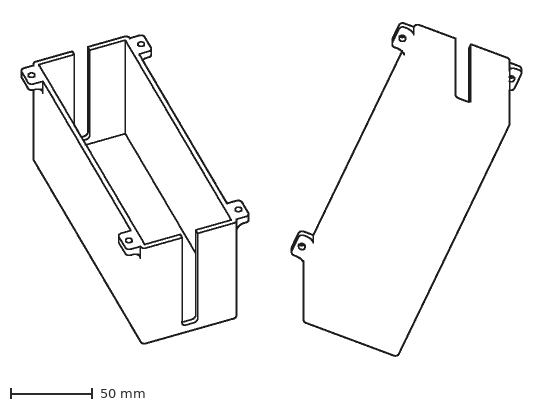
import cadquery as cq

length = 177.8
width = 63.5
height = 82.55
wall = 3.175
edge_radius = 2.54

tab_length = 15.24
tab_reach = 8.89
tab_thickness = 5.08
tab_corner_radius = 2.54
tab_gusset_radius = 5.08
tab_inset = edge_radius
hole_diameter = 4.0

slot_width = 10.16
slot_bottom = 7.62
slot_corner_radius = 2.54


def make_box():
    """Hollow box with rounded vertical and bottom outer edges, base on Z = 0."""
    outer = cq.Workplane("XY").box(length, width, height, centered=(True, True, False))
    outer = outer.edges("|Z or <Z").fillet(edge_radius)
    cavity = (
        cq.Workplane("XY", origin=(0, 0, wall))
        .box(length - 2 * wall, width - 2 * wall, height - wall, centered=(True, True, False))
    )
    return outer.cut(cavity)


def make_tab():
    """Tab on the +X, +Y corner, with a concave gusset below and a screw hole."""
    tab_start = length / 2 - tab_inset - tab_length
    root_y = width / 2
    tip_y = root_y + tab_reach
    embed_y = root_y - wall / 2
    underside = height - tab_thickness
    gusset_bottom = underside - tab_gusset_radius
    arc_offset = tab_gusset_radius * (1 - 0.5 ** 0.5)
    tab = (
        cq.Workplane("YZ", origin=(tab_start, 0, 0))
        .moveTo(embed_y, height)
        .lineTo(tip_y, height)
        .lineTo(tip_y, underside)
        .lineTo(root_y + tab_gusset_radius, underside)
        .threePointArc((root_y + arc_offset, underside - arc_offset), (root_y, gusset_bottom))
        .lineTo(embed_y, gusset_bottom)
        .close()
        .extrude(tab_length)
    )
    tab = tab.edges("|Z and >Y").fillet(tab_corner_radius)
    hole = (
        cq.Workplane("XY")
        .center(tab_start + tab_length / 2, root_y + tab_reach / 2)
        .circle(hole_diameter / 2)
        .extrude(height)
    )
    return tab.cut(hole)


def make_slot():
    """Cutter along X that opens both end walls up to the rim."""
    slot = (
        cq.Workplane("XY", origin=(0, 0, slot_bottom))
        .box(length, slot_width, height - slot_bottom, centered=(True, True, False))
    )
    return slot.edges("|X and <Z").fillet(slot_corner_radius)


def add_tabs(body):
    """Place the tab at all four corners by mirroring."""
    tab = make_tab()
    tab_pair = tab.union(tab.mirror("YZ"))
    return body.union(tab_pair).union(tab_pair.mirror("XZ"))


result = add_tabs(make_box()).cut(make_slot())